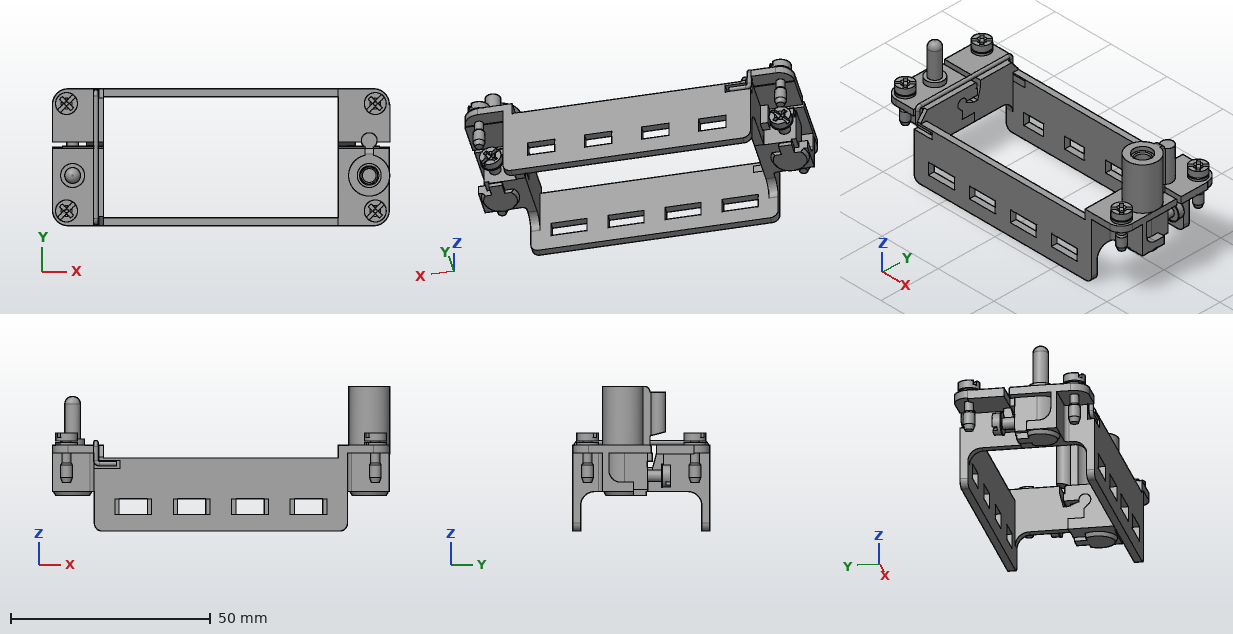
import cadquery as cq
import math


END_X = 42.2
HALF_WIDTH = 17.2
FLANGE_TOP = 21.6
FLANGE_THICK = 2.0
FLANGE_BOTTOM = FLANGE_TOP - FLANGE_THICK
CORNER_RADIUS = 4.0

WALL_OUTER_X = 31.75
WALL_THICK = 2.4
WALL_INNER_X = WALL_OUTER_X - WALL_THICK
WALL_BOTTOM = 9.9
ARCH_RADIUS = 3.5

PANEL_TOP = 18.4
PANEL_THICK = 2.0
PANEL_INNER_Y = HALF_WIDTH - PANEL_THICK
PANEL_CORNER = 2.0

WINDOW_COUNT = 4
WINDOW_PITCH = 14.65
WINDOW_BOTTOM = 4.2
WINDOW_HEIGHT = 3.9
FRONT_WINDOW_LENGTH = 9.2
REAR_WINDOW_LENGTH = 7.0

FRONT_EDGE_Y = 2.5
FRONT_EDGE_CHAMFER = 0.3
FRONT_LIP_Y = 2.8
REAR_EDGE_Y = 3.8
GAP_BOTTOM_Y = 2.9
ARM_Z = 16.0
ARM_BEND_Y = 1.5
ARM_BOTTOM = 12.7
ARM_ROOT_Y = 1.7
ARM_TIP_Y = -2.45
NECK_TOP = 15.15
KNUCKLE_Y = -2.6
KNUCKLE_Z = 17.5
KNUCKLE_RADIUS = 1.5
KNUCKLE_START_ANGLE = 225
ARM_DROP = 0.4
FRONT_LIP_SETBACK = 0.3
BOSS_Y = 5.6
BOSS_THICK = 1.95
BOSS_BOTTOM = 13.55

LIP_DROP = 0.25
LIP_OVERHANG = 0.2
LIP_SIDE_Y = HALF_WIDTH - CORNER_RADIUS

POST_X = 37.2
POST_Y = -4.6
BLOCK_FRONT_Y = -9.65
BLOCK_BACK_Y = 1.5
BLOCK_FILLET = 1.0
RECESS_DEPTH = 2.2
RECESS_FLAT_Y = -4.2
RECESS_ROUND_RADIUS = 4.7
RECESS_SIDE_Y = -8.1
RECESS_BOTTOM = 12.3
RECESS_CORNER = 3.05
SHELF_Y = -1.95
FOOT_TOP_RADIUS = 4.8
FOOT_BOTTOM_RADIUS = 4.2
FOOT_DEPTH = 1.0
LUG_BACK_Y = 1.3
LUG_HALF_LENGTH = 1.7
LUG_TOP = 10.5
EARTH_SHANK_DIAMETER = 3.0
EARTH_SCREW_Z = 13.9
EARTH_HEAD_Y = 5.3
EARTH_WASHER_DIAMETER = 5.8
EARTH_WASHER_THICK = 0.25

SCREW_X = 38.7
SCREW_Y = 13.5
HEAD_DIAMETER = 5.5
HEAD_HEIGHT = 2.0
HEAD_BOTTOM = 22.6
SLOT_WIDTH = 1.0
SLOT_DEPTH = 1.1
CROSS_LENGTH = 4.0
SOCKET_DEPTH = 1.7
SOCKET_DIAMETER = 2.7
WASHER_THICK = 0.7
WASHER_SPLIT = 0.8
NECK_DIAMETER = 2.3
NECK_BOTTOM = 17.1
THREAD_DIAMETER = 3.0
THREAD_SHOULDER = 0.5
THREAD_BOTTOM = 13.5
TIP_DIAMETER = 2.0
TIP_BOTTOM = 12.2

PIN_DIAMETER = 4.0
PIN_TOP = 33.8
PIN_NOSE_RADIUS = 1.9
COLLAR_DIAMETER = 6.0
COLLAR_HEIGHT = 1.5
BUSH_DIAMETER = 10.3
BUSH_TOP = 36.3
MOUTH_DIAMETER = 6.0
MOUTH_DEPTH = 1.3
BORE_DIAMETER = 4.2
BORE_LEAD_DIAMETER = 4.8
BORE_LEAD_DEPTH = 0.4
BORE_FLOOR_DIAMETER = 3.5
BORE_DEPTH = 12.7
CODING_DIAMETER = 4.0
CODING_Y = 4.15
CODING_TOP = 34.9
CODING_LOW_Z = 23.9
CODING_HIGH_Z = 24.9
WEB_WIDTH = 2.0
WEB_END_Y = 2.2
WEB_ROUND = 1.4

WIRE_DIAMETER = 1.2
WIRE_RADIUS = WIRE_DIAMETER / 2
WIRE_X = -31.3
WIRE_SIDE_Y = 16.3
WIRE_TOP_BEND = 0.9
WIRE_LEG_Z = 16.9
WIRE_LEG_BEND = 0.85
WIRE_END_X = -26.15
GROOVE_START_X = -31.9
GROOVE_CORNER_X = -30.6
GROOVE_END_X = -25.3
GROOVE_FLOOR_Y = 15.4
GROOVE_BOTTOM = 15.7
GROOVE_HEIGHT = 2.0
RELIEF_WIDTH = 2.4
RELIEF_HEIGHT = 3.05


def box(x0, x1, y0, y1, z0, z1):
    """Block between two opposite corners."""
    return cq.Workplane("XY").box(x1 - x0, y1 - y0, z1 - z0, centered=False).translate((x0, y0, z0))


def disc(x, y, z0, z1, diameter):
    """Upright cylinder."""
    return cq.Workplane("XY").circle(diameter / 2).extrude(z1 - z0).translate((x, y, z0))


def cone(x, y, z0, z1, diameter0, diameter1):
    """Upright truncated cone."""
    solid = cq.Solid.makeCone(diameter0 / 2, diameter1 / 2, z1 - z0)
    return cq.Workplane(solid.translate(cq.Vector(x, y, z0)))


def at_both_ends(part):
    """The part at the -X end together with its mirror image at the +X end."""
    return part.union(part.mirror("YZ"))


def panel(side, window_length):
    """Side panel with its row of windows; side is -1 for front, 1 for rear."""
    y0, y1 = sorted((side * PANEL_INNER_Y, side * HALF_WIDTH))
    body = box(-WALL_OUTER_X, WALL_OUTER_X, y0, y1, 0, PANEL_TOP)
    body = body.edges("|Y and <Z").fillet(PANEL_CORNER)
    for i in range(WINDOW_COUNT):
        x = (i - (WINDOW_COUNT - 1) / 2) * WINDOW_PITCH
        body = body.cut(box(x - window_length / 2, x + window_length / 2, y0, y1,
                            WINDOW_BOTTOM, WINDOW_BOTTOM + WINDOW_HEIGHT))
    return body


def flange(side, edge_y):
    """Flange at the -X end, from the hinge edge out to the rounded corner."""
    y0, y1 = sorted((edge_y, side * HALF_WIDTH))
    body = box(-END_X, -WALL_INNER_X, y0, y1, FLANGE_BOTTOM, FLANGE_TOP)
    corner = "|Z and <X and " + ("<Y" if side < 0 else ">Y")
    return body.edges(corner).fillet(CORNER_RADIUS)


def wall_from_profile(profile):
    """Cross wall at the -X end from an outline in the Y-Z plane."""
    return profile.close().extrude(WALL_THICK).translate((-WALL_OUTER_X, 0, 0))


def arch_fillet(side):
    """Rounded inner corner where the cross wall meets a side panel."""
    y = side * PANEL_INNER_Y
    y_in = y - side * ARCH_RADIUS
    z = WALL_BOTTOM - ARCH_RADIUS
    middle = ARCH_RADIUS * math.sqrt(0.5)
    profile = (
        cq.Workplane("YZ")
        .moveTo(y, WALL_BOTTOM)
        .lineTo(y, z)
        .threePointArc((y_in + side * middle, z + middle), (y_in, WALL_BOTTOM))
    )
    return wall_from_profile(profile)


def knuckle_point(angle):
    """Point on the hinge knuckle at an angle in degrees from +Y towards +Z."""
    a = math.radians(angle)
    return (KNUCKLE_Y + KNUCKLE_RADIUS * math.cos(a), KNUCKLE_Z + KNUCKLE_RADIUS * math.sin(a))


def hinge_profile():
    """Joint line of both walls, from the wall bottom up around the knuckle."""
    return (
        cq.Workplane("YZ")
        .moveTo(ARM_ROOT_Y, WALL_BOTTOM)
        .lineTo(ARM_ROOT_Y, ARM_BOTTOM)
        .lineTo(ARM_TIP_Y, ARM_BOTTOM)
        .lineTo(ARM_TIP_Y, NECK_TOP)
        .lineTo(*knuckle_point(KNUCKLE_START_ANGLE))
        .threePointArc(knuckle_point(KNUCKLE_START_ANGLE / 2), knuckle_point(0))
    )


def wire_groove(side):
    """Space for the wire bail in a panel and in the wall corner above it."""
    y0, y1 = sorted((side * GROOVE_FLOOR_Y, side * HALF_WIDTH))
    leg = box(GROOVE_START_X, GROOVE_END_X, y0, y1, GROOVE_BOTTOM, GROOVE_BOTTOM + GROOVE_HEIGHT)
    riser = box(GROOVE_START_X, GROOVE_CORNER_X, y0, y1, GROOVE_BOTTOM, FLANGE_TOP)
    relief = (
        cq.Workplane("YZ")
        .moveTo(side * HALF_WIDTH, FLANGE_TOP)
        .lineTo(side * HALF_WIDTH, FLANGE_TOP - RELIEF_HEIGHT)
        .lineTo(side * (HALF_WIDTH - RELIEF_WIDTH), FLANGE_TOP)
        .close()
        .extrude(GROOVE_CORNER_X + WALL_INNER_X)
        .translate((-WALL_INNER_X, 0, 0))
    )
    return leg.union(riser).union(relief)


def screw_head():
    """Round head standing on Z = 0, with a cross recess and one slot across it."""
    slot_floor = HEAD_HEIGHT - SLOT_DEPTH
    socket_tip = HEAD_HEIGHT - SOCKET_DEPTH
    slot = box(-HEAD_DIAMETER, HEAD_DIAMETER, -SLOT_WIDTH / 2, SLOT_WIDTH / 2, slot_floor, HEAD_HEIGHT)
    arm = box(-SLOT_WIDTH / 2, SLOT_WIDTH / 2, -CROSS_LENGTH / 2, CROSS_LENGTH / 2,
              slot_floor, HEAD_HEIGHT)
    socket = cone(0, 0, socket_tip, HEAD_HEIGHT, 0, SOCKET_DIAMETER)
    head = disc(0, 0, 0, HEAD_HEIGHT, HEAD_DIAMETER).cut(slot).cut(arm).cut(socket)
    return head.rotate((0, 0, 0), (0, 0, 1), 45)


def flange_screw(x, y):
    """Captive screw with its split lock washer, set through a flange."""
    split = box(-HEAD_DIAMETER, 0, -WASHER_SPLIT / 2, WASHER_SPLIT / 2, FLANGE_TOP, HEAD_BOTTOM)
    split = split.rotate((0, 0, 0), (0, 0, 1), 45)
    washer = disc(0, 0, FLANGE_TOP, FLANGE_TOP + WASHER_THICK, HEAD_DIAMETER).cut(split)
    shoulder_z = NECK_BOTTOM - THREAD_SHOULDER
    screw = (
        screw_head().translate((0, 0, HEAD_BOTTOM))
        .union(washer)
        .union(disc(0, 0, NECK_BOTTOM, HEAD_BOTTOM, NECK_DIAMETER))
        .union(cone(0, 0, shoulder_z, NECK_BOTTOM, THREAD_DIAMETER, NECK_DIAMETER))
        .union(disc(0, 0, THREAD_BOTTOM, shoulder_z, THREAD_DIAMETER))
        .union(cone(0, 0, TIP_BOTTOM, THREAD_BOTTOM, TIP_DIAMETER, THREAD_DIAMETER))
    )
    return screw.translate((x, y, 0))


def earth_screw():
    """Level screw that enters the back of the terminal block at the -X end."""
    head = screw_head().rotate((0, 0, 0), (0, 0, 1), 90).translate((0, 0, EARTH_HEAD_Y))
    washer = disc(0, 0, EARTH_HEAD_Y - EARTH_WASHER_THICK, EARTH_HEAD_Y, EARTH_WASHER_DIAMETER)
    shank = disc(0, 0, BLOCK_BACK_Y, EARTH_HEAD_Y, EARTH_SHANK_DIAMETER)
    screw = head.union(washer).union(shank).rotate((0, 0, 0), (1, 0, 0), -90)
    return screw.translate((-POST_X, 0, EARTH_SCREW_Z))


def block_recess():
    """Wire recess in the outer face of the block, with a floor that rounds off towards the front."""
    floor_x = -END_X + RECESS_DEPTH
    full_angle = math.asin((RECESS_FLAT_Y - RECESS_SIDE_Y) / RECESS_ROUND_RADIUS)

    def round_point(angle):
        return (floor_x + RECESS_ROUND_RADIUS * (1 - math.cos(angle)),
                RECESS_FLAT_Y - RECESS_ROUND_RADIUS * math.sin(angle))

    plan = (
        cq.Workplane("XY")
        .moveTo(-END_X, BLOCK_BACK_Y)
        .lineTo(floor_x, BLOCK_BACK_Y)
        .lineTo(floor_x, RECESS_FLAT_Y)
        .threePointArc(round_point(full_angle / 2), round_point(full_angle))
        .lineTo(-END_X, RECESS_SIDE_Y)
        .close()
        .extrude(FLANGE_BOTTOM)
    )
    opening = box(-END_X, -POST_X, RECESS_SIDE_Y, BLOCK_BACK_Y, RECESS_BOTTOM, FLANGE_BOTTOM)
    opening = opening.edges("|X and <Y and <Z").fillet(RECESS_CORNER)
    shelf = box(-END_X, floor_x, SHELF_Y, BLOCK_BACK_Y, WALL_BOTTOM, RECESS_BOTTOM)
    return plan.intersect(opening.union(shelf))


def terminal_block():
    """Block below the front flange at the -X end, with its tapered foot."""
    fillet_x = -WALL_OUTER_X - BLOCK_FILLET
    fillet_y = BLOCK_FRONT_Y - BLOCK_FILLET
    middle = BLOCK_FILLET * math.sqrt(0.5)
    block = (
        cq.Workplane("XY")
        .moveTo(-WALL_OUTER_X, BLOCK_BACK_Y)
        .lineTo(-END_X, BLOCK_BACK_Y)
        .lineTo(-END_X, BLOCK_FRONT_Y)
        .lineTo(fillet_x, BLOCK_FRONT_Y)
        .threePointArc((fillet_x + middle, fillet_y + middle), (-WALL_OUTER_X, fillet_y))
        .close()
        .extrude(FLANGE_BOTTOM - WALL_BOTTOM)
        .translate((0, 0, WALL_BOTTOM))
    )
    lip_x = -END_X + RECESS_DEPTH + FRONT_LIP_SETBACK
    foot_bottom = WALL_BOTTOM - FOOT_DEPTH
    foot = cone(-POST_X, POST_Y, foot_bottom, WALL_BOTTOM, 2 * FOOT_BOTTOM_RADIUS, 2 * FOOT_TOP_RADIUS)
    foot = foot.cut(box(-END_X, -WALL_OUTER_X, SHELF_Y, BLOCK_BACK_Y, foot_bottom, WALL_BOTTOM))
    lug_x = -POST_X - LUG_HALF_LENGTH
    undercut = box(-END_X, lug_x, SHELF_Y, BLOCK_BACK_Y, WALL_BOTTOM, LUG_TOP)
    lug = box(lug_x, -POST_X + LUG_HALF_LENGTH, SHELF_Y, LUG_BACK_Y, foot_bottom, LUG_TOP)
    lip = box(lip_x, -WALL_OUTER_X, BLOCK_BACK_Y, FRONT_LIP_Y, KNUCKLE_Z, FLANGE_BOTTOM)
    return block.cut(block_recess()).cut(undercut).union(foot).union(lug).union(lip)


def guide_pin():
    """Round-nosed guide pin with its collar on the front flange."""
    pin = disc(-POST_X, POST_Y, FLANGE_TOP, PIN_TOP, PIN_DIAMETER)
    pin = pin.faces(">Z").edges().fillet(PIN_NOSE_RADIUS)
    return pin.union(disc(-POST_X, POST_Y, FLANGE_TOP, FLANGE_TOP + COLLAR_HEIGHT, COLLAR_DIAMETER))


def guide_bush():
    """Guide bush with a stepped blind bore."""
    lead_top = BUSH_TOP - MOUTH_DEPTH
    lead_bottom = lead_top - BORE_LEAD_DEPTH
    floor_z = BUSH_TOP - BORE_DEPTH
    taper_z = floor_z + (BORE_DIAMETER - BORE_FLOOR_DIAMETER) / 2
    bush = disc(POST_X, POST_Y, FLANGE_TOP, BUSH_TOP, BUSH_DIAMETER)
    bore = (
        disc(POST_X, POST_Y, lead_top, BUSH_TOP, MOUTH_DIAMETER)
        .union(cone(POST_X, POST_Y, lead_bottom, lead_top, BORE_DIAMETER, BORE_LEAD_DIAMETER))
        .union(disc(POST_X, POST_Y, taper_z, lead_bottom, BORE_DIAMETER))
        .union(cone(POST_X, POST_Y, floor_z, taper_z, BORE_FLOOR_DIAMETER, BORE_DIAMETER))
    )
    return coding_post().union(bush).cut(bore)


def coding_post():
    """Coding post beside the bush, carried on a web and cut off at a slant."""
    x0 = POST_X - WEB_WIDTH / 2
    x1 = POST_X + WEB_WIDTH / 2
    radius = CODING_DIAMETER / 2
    post = disc(POST_X, CODING_Y, FLANGE_TOP, CODING_TOP, CODING_DIAMETER)
    post = post.union(box(x0, x1, POST_Y, CODING_Y, FLANGE_TOP, CODING_TOP))
    under = (
        cq.Workplane("YZ")
        .moveTo(CODING_Y - radius, FLANGE_TOP)
        .lineTo(CODING_Y + radius, FLANGE_TOP)
        .lineTo(CODING_Y + radius, CODING_HIGH_Z)
        .lineTo(CODING_Y - radius, CODING_LOW_Z)
        .close()
        .extrude(CODING_DIAMETER)
        .translate((POST_X - radius, 0, 0))
    )
    web = box(x0, x1, POST_Y, WEB_END_Y, FLANGE_TOP, BUSH_TOP)
    web = web.edges("|X and >Y and >Z").fillet(WEB_ROUND)
    return post.cut(under).union(web)


def build_front_half():
    """Front half frame with its screws, terminal blocks, guide pin and bush."""
    wall = wall_from_profile(
        hinge_profile()
        .lineTo(FRONT_LIP_Y, KNUCKLE_Z)
        .lineTo(FRONT_LIP_Y, FLANGE_BOTTOM)
        .lineTo(-HALF_WIDTH, FLANGE_BOTTOM)
        .lineTo(-HALF_WIDTH, WALL_BOTTOM)
    )
    top = flange(-1, FRONT_EDGE_Y).edges("|X and >Y and >Z").chamfer(FRONT_EDGE_CHAMFER)
    end = wall.union(arch_fillet(-1)).union(top).union(terminal_block()).union(earth_screw())
    body = at_both_ends(end).union(panel(-1, FRONT_WINDOW_LENGTH)).cut(wire_groove(-1))
    for x in (-SCREW_X, SCREW_X):
        body = body.union(flange_screw(x, -SCREW_Y))
    return body.union(guide_pin()).union(guide_bush())


def build_rear_half():
    """Rear half frame with its hinge arms and screws."""
    slope_top = (REAR_EDGE_Y, FLANGE_BOTTOM)
    slope_foot = (GAP_BOTTOM_Y, ARM_Z)
    wall = wall_from_profile(
        hinge_profile()
        .lineTo(knuckle_point(0)[0], KNUCKLE_Z - ARM_DROP)
        .lineTo(ARM_BEND_Y, ARM_Z)
        .lineTo(*slope_foot)
        .lineTo(*slope_top)
        .lineTo(HALF_WIDTH, FLANGE_BOTTOM)
        .lineTo(HALF_WIDTH, WALL_BOTTOM)
    )
    boss = (
        cq.Workplane("YZ")
        .polyline([slope_top, slope_foot, (GAP_BOTTOM_Y, BOSS_BOTTOM),
                   (BOSS_Y, BOSS_BOTTOM), (BOSS_Y, FLANGE_BOTTOM)])
        .close()
        .extrude(BOSS_THICK)
        .translate((-WALL_OUTER_X - BOSS_THICK, 0, 0))
    )
    lip = box(-END_X, -WALL_OUTER_X, REAR_EDGE_Y, LIP_SIDE_Y, FLANGE_BOTTOM - LIP_DROP, FLANGE_BOTTOM)
    overhang = box(END_X, END_X + LIP_OVERHANG, REAR_EDGE_Y, LIP_SIDE_Y,
                   FLANGE_BOTTOM - LIP_DROP, FLANGE_TOP)
    end = wall.union(arch_fillet(1)).union(flange(1, REAR_EDGE_Y)).union(boss).union(lip)
    body = at_both_ends(end).union(overhang).union(panel(1, REAR_WINDOW_LENGTH)).cut(wire_groove(1))
    for x in (-SCREW_X, SCREW_X):
        body = body.union(flange_screw(x, SCREW_Y))
    return body


def build_wire_bail():
    """Bent wire over both flanges, with a leg in the groove of each panel."""
    top_z = FLANGE_TOP + WIRE_RADIUS
    straight = cq.Edge.makeLine(cq.Vector(WIRE_X, -WIRE_SIDE_Y + WIRE_TOP_BEND, top_z),
                                cq.Vector(WIRE_X, WIRE_SIDE_Y - WIRE_TOP_BEND, top_z))
    top_middle = WIRE_TOP_BEND * (1 - math.sqrt(0.5))
    leg_middle = WIRE_LEG_BEND * (1 - math.sqrt(0.5))
    bend_x = WIRE_X + WIRE_LEG_BEND
    bend_z = WIRE_LEG_Z + WIRE_LEG_BEND

    def side_edges(side):
        y = side * WIRE_SIDE_Y
        top_end = cq.Vector(WIRE_X, y - side * WIRE_TOP_BEND, top_z)
        top_mid = cq.Vector(WIRE_X, y - side * top_middle, top_z - top_middle)
        riser_top = cq.Vector(WIRE_X, y, top_z - WIRE_TOP_BEND)
        riser_foot = cq.Vector(WIRE_X, y, bend_z)
        leg_mid = cq.Vector(WIRE_X + leg_middle, y, WIRE_LEG_Z + leg_middle)
        leg_start = cq.Vector(bend_x, y, WIRE_LEG_Z)
        leg_end = cq.Vector(WIRE_END_X, y, WIRE_LEG_Z)
        return [
            cq.Edge.makeThreePointArc(top_end, top_mid, riser_top),
            cq.Edge.makeLine(riser_top, riser_foot),
            cq.Edge.makeThreePointArc(riser_foot, leg_mid, leg_start),
            cq.Edge.makeLine(leg_start, leg_end),
        ]

    path = cq.Wire.assembleEdges(side_edges(-1)[::-1] + [straight] + side_edges(1))
    section = cq.Workplane("YZ", origin=(WIRE_END_X, -WIRE_SIDE_Y, WIRE_LEG_Z)).circle(WIRE_RADIUS)
    return section.sweep(cq.Workplane(path))


front_half = build_front_half()
rear_half = build_rear_half()
wire_bail = build_wire_bail()

result = cq.Compound.makeCompound([front_half.solids().val(), rear_half.solids().val(), wire_bail.val()])